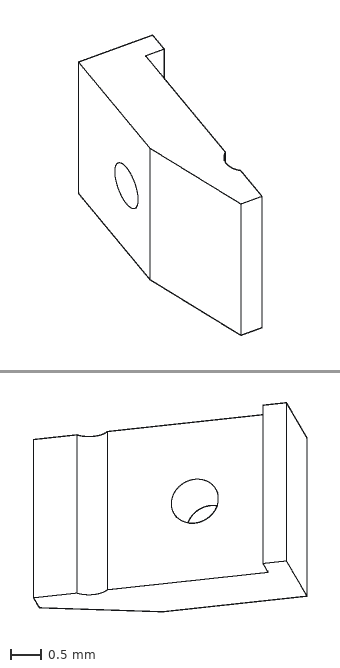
import cadquery as cq

length = 4.4
depth = 1.4
height = 2.9

lip_length = 0.4
lip_rise = 0.35
tip_thickness = 0.4
taper_start = 2.46
groove_center = 3.4
groove_width = 0.52
groove_depth = 0.125

hole_diameter = 0.8
hole_x = 1.65

back = depth - lip_rise
groove_start = groove_center - groove_width / 2
groove_end = groove_center + groove_width / 2

body = (
    cq.Workplane("XY")
    .moveTo(0, 0)
    .lineTo(taper_start, 0)
    .lineTo(length, back - tip_thickness)
    .lineTo(length, back)
    .lineTo(groove_end, back)
    .threePointArc((groove_center, back - groove_depth), (groove_start, back))
    .lineTo(lip_length, back)
    .lineTo(lip_length, depth)
    .lineTo(0, depth)
    .close()
    .extrude(height)
)

hole = (
    cq.Workplane("XZ")
    .center(hole_x, height / 2)
    .circle(hole_diameter / 2)
    .extrude(-depth)
)

result = body.cut(hole)